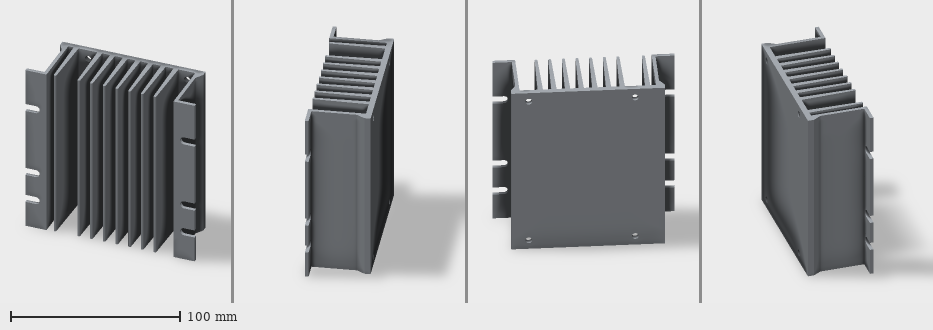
import cadquery as cq

WIDTH = 108.0
DEPTH = 38.1
LENGTH = 108.0

BASE_WIDTH = 91.3
BASE_THICKNESS = 3.6
WALL_OUTER_SPAN = 85.3
WALL_THICKNESS = 2.2
FLANGE_THICKNESS = 2.3
BASE_EDGE_HEIGHT = 3.8
TAPER_END = 8.6

ROW_FIN_COUNT = 7
FIN_PITCH = 8.1
ROW_START_X = -20.4
LONE_FIN_X = -35.5
FIN_HEIGHT = 33.9
FIN_ROOT_WIDTH = 3.1
FIN_TIP_WIDTH = 1.7

HOLE_DIAMETER = 4.0
HOLE_CENTER_X = 3.7
HOLE_SPACING_X = 63.2
HOLE_SPACING_Z = 96.2

SLOT_WIDTH = 4.9
SLOT_DEPTH = 9.2
SLOT_HEIGHTS = (28.1, -16.3, -35.0)

BACK_Y = DEPTH / 2
FRONT_Y = -DEPTH / 2
FIN_ROOT_Y = BACK_Y - BASE_THICKNESS
FLANGE_BACK_Y = FRONT_Y + FLANGE_THICKNESS
WALL_OUTER_X = WALL_OUTER_SPAN / 2
WALL_INNER_X = WALL_OUTER_X - WALL_THICKNESS


def extrude_along_z(outline):
    """Extrude a closed XY outline over the full length, centred on Z = 0."""
    return outline.close().extrude(LENGTH / 2, both=True)


def make_channel():
    """Base plate with sloped shoulders, side walls and outward flanges."""
    right_side = [
        (BASE_WIDTH / 2, BACK_Y),
        (BASE_WIDTH / 2, BACK_Y - BASE_EDGE_HEIGHT),
        (WALL_OUTER_X, BACK_Y - TAPER_END),
        (WALL_OUTER_X, FLANGE_BACK_Y),
        (WIDTH / 2, FLANGE_BACK_Y),
        (WIDTH / 2, FRONT_Y),
        (WALL_INNER_X, FRONT_Y),
        (WALL_INNER_X, FIN_ROOT_Y),
    ]
    left_side = [(-x, y) for x, y in reversed(right_side)]
    return extrude_along_z(cq.Workplane("XY").polyline(right_side + left_side))


def make_fin(x):
    """Tapered fin with a rounded tip, rooted on the middle of the base plate."""
    root_y = BACK_Y - BASE_THICKNESS / 2
    tip_radius = FIN_TIP_WIDTH / 2
    tip_y = FIN_ROOT_Y - FIN_HEIGHT
    outline = (
        cq.Workplane("XY")
        .moveTo(x - FIN_ROOT_WIDTH / 2, root_y)
        .lineTo(x - FIN_ROOT_WIDTH / 2, FIN_ROOT_Y)
        .lineTo(x - tip_radius, tip_y + tip_radius)
        .threePointArc((x, tip_y), (x + tip_radius, tip_y + tip_radius))
        .lineTo(x + FIN_ROOT_WIDTH / 2, FIN_ROOT_Y)
        .lineTo(x + FIN_ROOT_WIDTH / 2, root_y)
    )
    return extrude_along_z(outline)


def make_base_holes():
    """Four through holes in the base plate."""
    return (
        cq.Workplane("XZ", origin=(HOLE_CENTER_X, BACK_Y, 0))
        .rect(HOLE_SPACING_X, HOLE_SPACING_Z, forConstruction=True)
        .vertices()
        .circle(HOLE_DIAMETER / 2)
        .extrude(BASE_THICKNESS)
    )


def make_flange_slots():
    """Round-ended slots open to the outer edge of each flange."""
    centers = [(side * WIDTH / 2, z) for side in (-1, 1) for z in SLOT_HEIGHTS]
    return (
        cq.Workplane("XZ", origin=(0, FLANGE_BACK_Y, 0))
        .pushPoints(centers)
        .slot2D(2 * SLOT_DEPTH, SLOT_WIDTH)
        .extrude(FLANGE_THICKNESS)
    )


fin_positions = [LONE_FIN_X] + [ROW_START_X + i * FIN_PITCH for i in range(ROW_FIN_COUNT)]

result = make_channel()
for fin_x in fin_positions:
    result = result.union(make_fin(fin_x))
result = result.cut(make_base_holes()).cut(make_flange_slots())